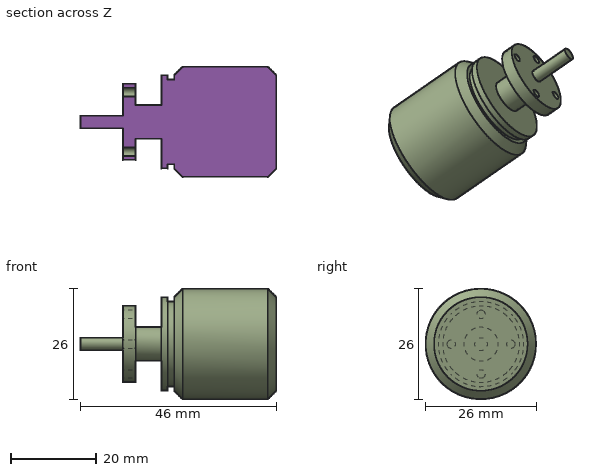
import cadquery as cq

shaft_diameter = 3.0
flange_diameter = 18.0
neck_diameter = 8.0
collar_diameter = 22.0
groove_diameter = 20.0
body_diameter = 26.0

total_length = 46.0
shaft_length = 10.0
flange_thickness = 3.0
neck_length = 6.03
collar_thickness = 1.45
groove_width = 1.5

body_chamfer = (body_diameter - collar_diameter) / 2

hole_diameter = 2.0
hole_circle_diameter = 14.0
hole_count = 4

flange_start = shaft_length
neck_start = flange_start + flange_thickness
collar_start = neck_start + neck_length
groove_start = collar_start + collar_thickness
body_start = groove_start + groove_width
body_length = total_length - body_start


def cylinder(start, length, diameter):
    """Solid cylinder on the X axis, running from start toward +X."""
    return cq.Workplane("YZ", origin=(start, 0, 0)).circle(diameter / 2).extrude(length)


def make_flange():
    """Round flange with evenly spaced through holes."""
    holes = (
        cq.Workplane("YZ", origin=(flange_start, 0, 0))
        .polarArray(hole_circle_diameter / 2, 0, 360, hole_count)
        .circle(hole_diameter / 2)
        .extrude(flange_thickness)
    )
    return cylinder(flange_start, flange_thickness, flange_diameter).cut(holes)


def make_body():
    """Main cylinder, chamfered at both ends."""
    return cylinder(body_start, body_length, body_diameter).faces("<X or >X").chamfer(body_chamfer)


result = (
    cylinder(0, shaft_length, shaft_diameter)
    .union(make_flange())
    .union(cylinder(neck_start, neck_length, neck_diameter))
    .union(cylinder(collar_start, collar_thickness, collar_diameter))
    .union(cylinder(groove_start, groove_width, groove_diameter))
    .union(make_body())
)